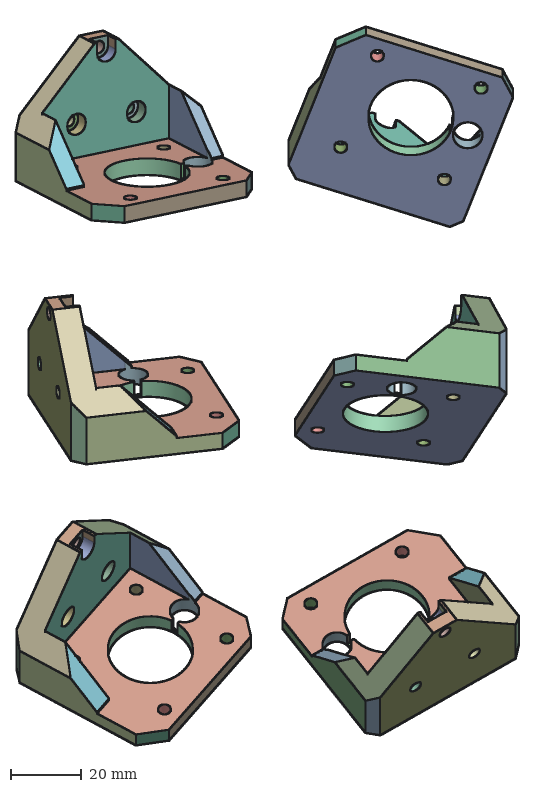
import cadquery as cq

length = 50.0
width = 52.51
height = 38.0
center_y = 27.5

plate_thickness = 5.0
front_left_cut = 3.5
front_right_cut = 6.7
back_right_cut = 5.0
back_left_cut = 3.0

wall_thickness = 8.0
front_wall_thickness = 6.0
back_wall_thickness = 4.1
side_wall_length = 30.0
ridge_width = 8.0
side_wall_end_height = 5.5

screw_diameter = 3.6
screw_head_diameter = 6.2
screw_head_floor = 4.0
lower_screw_spacing = 20.0
lower_screw_height = 15.0
upper_screw_height = 35.0

motor_x = 29.3
motor_bore = 24.0
motor_screw_spacing = 31.0
rod_bore = 8.25
rod_offset = 17.0
relief_width = 2.0
relief_floor = 0.6


def make_outline(thickness):
    """Rectangular block with its four vertical corners cut off."""
    points = [
        (front_left_cut, 0),
        (length - front_right_cut, 0),
        (length, front_right_cut),
        (length, width - back_right_cut),
        (length - back_right_cut, width),
        (back_left_cut, width),
        (0, width - back_left_cut),
        (0, front_left_cut),
    ]
    return cq.Workplane("XY").polyline(points).close().extrude(thickness)


def make_gable():
    """Prism along X whose roof falls at 45 degrees on both sides of the ridge."""
    ridge_front = center_y - ridge_width / 2
    ridge_back = center_y + ridge_width / 2
    front_eave = height - ridge_front
    back_eave = height - (width - ridge_back)
    points = [
        (0, 0),
        (width, 0),
        (width, back_eave),
        (ridge_back, height),
        (ridge_front, height),
        (0, front_eave),
    ]
    return cq.Workplane("YZ").polyline(points).close().extrude(length)


def make_side_profile():
    """Prism along Y whose top falls at 45 degrees towards the free end of the side walls."""
    slope_start = side_wall_length - (height - side_wall_end_height)
    points = [
        (slope_start, 0),
        (side_wall_length, 0),
        (side_wall_length, side_wall_end_height),
        (slope_start, height),
    ]
    side = cq.Workplane("XZ").polyline(points).close().extrude(-width)
    wall = cq.Workplane("XY").box(wall_thickness, width, height, centered=False)
    return side.union(wall)


def make_walls():
    """Mounting wall and side walls, open between the side walls."""
    walls = make_outline(height).intersect(make_gable()).intersect(make_side_profile())
    opening = (
        cq.Workplane("XY")
        .box(length, width - front_wall_thickness - back_wall_thickness, height, centered=False)
        .translate((wall_thickness, front_wall_thickness, 0))
    )
    return walls.cut(opening)


def make_wall_screw(y, z):
    """Screw hole along X with a head counterbore on the inner face of the wall."""
    plane = cq.Workplane("YZ").center(y, z)
    hole = plane.circle(screw_diameter / 2).extrude(wall_thickness)
    head = (
        plane.workplane(offset=screw_head_floor)
        .circle(screw_head_diameter / 2)
        .extrude(wall_thickness - screw_head_floor)
    )
    return hole.union(head)


def cut_wall_screws(body):
    """Three screw holes; the head recess of the upper one is open at the top."""
    for side in (-1, 1):
        y = center_y + side * lower_screw_spacing / 2
        body = body.cut(make_wall_screw(y, lower_screw_height))
    body = body.cut(make_wall_screw(center_y, upper_screw_height))
    open_top = (
        cq.Workplane("XY")
        .box(
            wall_thickness - screw_head_floor,
            screw_head_diameter,
            height - upper_screw_height,
            centered=(False, True, False),
        )
        .translate((screw_head_floor, center_y, upper_screw_height))
    )
    return body.cut(open_top)


def cut_motor_mount(body):
    """Motor bore with its four screw holes."""
    motor = cq.Workplane("XY").center(motor_x, center_y)
    bore = motor.circle(motor_bore / 2).extrude(plate_thickness)
    screws = (
        motor.rect(motor_screw_spacing, motor_screw_spacing, forConstruction=True)
        .vertices()
        .circle(screw_diameter / 2)
        .extrude(plate_thickness)
    )
    return body.cut(bore).cut(screws)


def cut_rod_hole(body):
    """Rod hole and the relief slot that joins it to the motor bore."""
    rod = cq.Workplane("XY").center(motor_x, center_y + rod_offset).circle(rod_bore / 2).extrude(height)
    relief = (
        cq.Workplane("XY")
        .box(relief_width, rod_offset, plate_thickness - relief_floor, centered=(True, False, False))
        .translate((motor_x, center_y, relief_floor))
    )
    return body.cut(rod).cut(relief)


result = make_outline(plate_thickness).union(make_walls())
result = cut_wall_screws(result)
result = cut_motor_mount(result)
result = cut_rod_hole(result)